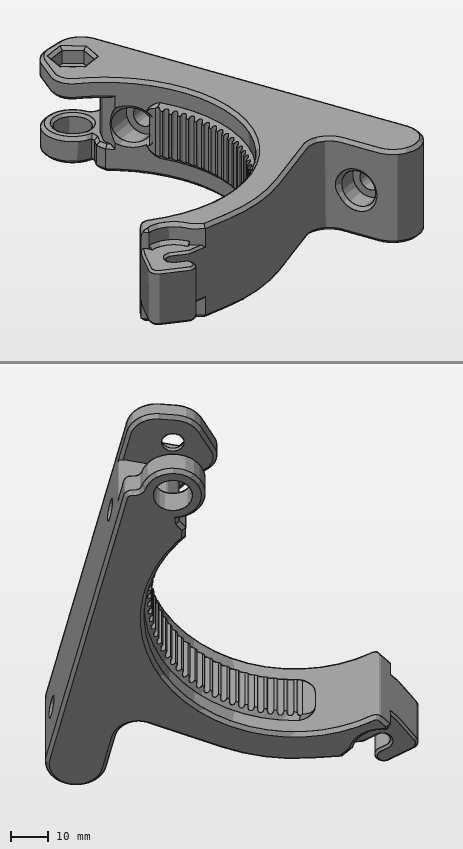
import cadquery as cq
import math

HEIGHT = 28.0
MID_Z = HEIGHT / 2
EDGE = 1.0

RING_R_IN = 40.0
RING_R_OUT = 49.3
OUT_START = 10.5
OUT_END = -17.5

BAR_Y_TOP = 53.6
BAR_END_R = 8.1
BAR_Y_LOW = BAR_Y_TOP - 2 * BAR_END_R
BAR_END_X = 61.9
BAR_CORNER_R = 6.3

PIVOT = (-34.4, 41.0)
EAR_Z = 21.9
EAR_R = 8.7
EAR_TIP_R = 5.9
EAR_TIP_ANGLE = 131.8
LUG_Z = 7.9
LUG_R = 8.6
LUG_HOLE_D = 10.4
LUG_HOLE_EDGE = 0.8
LUG_NECK_X = -33.0
LUG_NECK_R = 2.3
LUG_FRONT = [(-27.7, 38.1), (-25.4, 37.2), (-23.5, 35.0)]
LUG_WALL_X = -20.4
EMBED_X = -11.3
GAP_X = -25.7
GAP_BACK_R = 1.9
GAP_CORNER = (GAP_X, 40.5)
GAP_CORNER_R = 1.7
GAP_NOSE = (-22.2, 36.5)
GAP_NOSE_R = 2.3
GAP_WALL_X = -18.1

BOLT_D = 6.0
NUT_FLATS = 10.0
NUT_DEPTH = 4.9
NUT_EDGE = 0.9
HEAD_D = 10.4
HEAD_EDGE = 1.0
HEAD_FLOOR_Y = 44.1
ARC_HOLE_X = -14.5
BAR_HOLE_X = 55.5

PAD_R = 38.2
PAD_HEIGHT = 16.7
PAD_BACK_R = 42.5
PAD_ANGLE = 42.4
RAMP_NORMAL = 42.4
RAMP_DIST = 37.4
CORNER_CONE_R = 5.3
CORNER_CONE_X = 38.8
CORNER_CONE_Y = -10.1
CORNER_CONE_LENGTH = 7.9
GROOVE_R = 0.9
GROOVE_COUNT = 30
GROOVE_PITCH = 3.96

PIN = (40.9, -33.1)
PIN_R = 2.1
HOOK_ANGLE = 45.0
HOOK_Z = 5.9
HOOK_TOP = HEIGHT - HOOK_Z
HOOK_EDGE = 0.7
HOOK_TIP_R = 2.4
HOOK_TIP_ALONG = 2.4
HOOK_HEEL_R = 2.5
HOOK_SHOULDER_R = 1.1
HOOK_START_Y = -31.7
HOOK_ROOT_Y = -19.2

END_POINT = (32.5, -35.5)
BODY_END_ANGLE = -55.0
HOOK_END_ANGLE = -47.0
END_CORNER_R = 2.0
END_TOP_R = 2.6
TOE_X = 30.8
SHOULDER_Y = -22.8
RELIEF_R = 8.1
RELIEF_START = 90.0
RELIEF_END = 175.0
RELIEF_EDGE_R = 1.1
FOOT = 1.0


def polar(radius, angle, centre=(0, 0)):
    a = math.radians(angle)
    return (centre[0] + radius * math.cos(a), centre[1] + radius * math.sin(a))


def cross_lines(p, angle_p, q, angle_q):
    """Intersection of two lines, each given by a point and a direction."""
    ap, aq = math.radians(angle_p), math.radians(angle_q)
    dx, dy = q[0] - p[0], q[1] - p[1]
    t = (dx * math.sin(aq) - dy * math.cos(aq)) / math.sin(aq - ap)
    return (p[0] + t * math.cos(ap), p[1] + t * math.sin(ap))


def line_meets_ring(p, angle, radius):
    """First point of a line, going on from p, on a circle about the ring axis."""
    a = math.radians(angle)
    along = p[0] * math.cos(a) + p[1] * math.sin(a)
    reach = -along - math.sqrt(along**2 - p[0] ** 2 - p[1] ** 2 + radius**2)
    return (p[0] + reach * math.cos(a), p[1] + reach * math.sin(a))


def tangent_normal(c1, r1, c2, r2):
    """Direction of the contact points on the outer tangent that passes right of c1 to c2."""
    heading = math.degrees(math.atan2(c2[1] - c1[1], c2[0] - c1[0]))
    dist = math.hypot(c2[0] - c1[0], c2[1] - c1[1])
    return (heading - math.degrees(math.acos((r1 - r2) / dist))) % 360


def wall_at_x(x):
    """Point of the clamping wall at a given X, on the +Y side."""
    return (x, math.sqrt(RING_R_IN**2 - x**2))


def round_corner(solid, point, radius):
    """Fillet the vertical edge that stands at a point."""
    reach = 0.3
    low = (point[0] - reach, point[1] - reach, -HEIGHT)
    high = (point[0] + reach, point[1] + reach, 2 * HEIGHT)
    return solid.edges("|Z").edges(cq.selectors.BoxSelector(low, high)).fillet(radius)


def chamfer_rims(solid, size):
    return solid.faces("<Z or >Z").edges().chamfer(size)


def vertical_cylinder(centre, diameter, height):
    return cq.Workplane().center(*centre).circle(diameter / 2).extrude(height)


OUT_START_POINT = polar(RING_R_OUT, OUT_START)
OUT_END_POINT = polar(RING_R_OUT, OUT_END)
OUT_END_LINE = OUT_END - 90
END_CORNER = line_meets_ring(END_POINT, BODY_END_ANGLE + 180, RING_R_IN)


def make_body():
    """Bar and ring over the full height, from the clevis gap to the pin relief."""
    bar_corner = cross_lines((0, BAR_Y_LOW), 0, OUT_START_POINT, OUT_START + 90)
    shoulder = cross_lines(OUT_END_POINT, OUT_END_LINE, (0, SHOULDER_Y), 0)
    relief_start = polar(RELIEF_R, RELIEF_START, PIN)
    relief_middle = polar(RELIEF_R, (RELIEF_START + RELIEF_END) / 2, PIN)
    body = (
        cq.Workplane()
        .moveTo(GAP_X, BAR_Y_TOP)
        .lineTo(BAR_END_X, BAR_Y_TOP)
        .threePointArc((BAR_END_X + BAR_END_R, BAR_Y_TOP - BAR_END_R), (BAR_END_X, BAR_Y_LOW))
        .lineTo(*bar_corner)
        .lineTo(*OUT_START_POINT)
        .threePointArc(polar(RING_R_OUT, (OUT_START + OUT_END) / 2), OUT_END_POINT)
        .lineTo(*shoulder)
        .lineTo(*relief_start)
        .threePointArc(relief_middle, polar(RELIEF_R, RELIEF_END, PIN))
        .lineTo(*cross_lines((TOE_X, 0), 90, END_POINT, BODY_END_ANGLE))
        .lineTo(*END_CORNER)
        .threePointArc(polar(RING_R_IN, PAD_ANGLE), wall_at_x(GAP_WALL_X))
        .lineTo(*GAP_NOSE)
        .lineTo(*GAP_CORNER)
        .close()
        .extrude(HEIGHT)
    )
    rounded_corners = [
        (bar_corner, BAR_CORNER_R),
        (END_CORNER, END_CORNER_R),
        (relief_start, RELIEF_EDGE_R),
        ((GAP_X, BAR_Y_TOP), GAP_BACK_R),
        (GAP_CORNER, GAP_CORNER_R),
        (GAP_NOSE, GAP_NOSE_R),
    ]
    for point, radius in rounded_corners:
        body = round_corner(body, point, radius)
    return chamfer_rims(body, EDGE).cut(make_end_rounding())


def make_end_rounding():
    """Stock to remove along the top edge of the body end face."""
    margin = 1.1
    length = 13.6
    strip = (
        cq.Workplane("XZ")
        .moveTo(-margin, HEIGHT + margin)
        .lineTo(END_TOP_R, HEIGHT + margin)
        .lineTo(END_TOP_R, HEIGHT)
        .radiusArc((0, HEIGHT - END_TOP_R), -END_TOP_R)
        .lineTo(-margin, HEIGHT - END_TOP_R)
        .close()
        .extrude(length / 2, both=True)
    )
    strip = strip.rotate((0, 0, 0), (0, 0, 1), BODY_END_ANGLE + 90)
    return strip.translate((*END_CORNER, 0))


def make_ear():
    """Upper clevis plate: three rounded corners joined by tangent lines."""
    back = (PIVOT[0], BAR_Y_TOP - BAR_END_R)
    tip = polar(RING_R_IN + EAR_TIP_R, EAR_TIP_ANGLE)
    side = tangent_normal(back, BAR_END_R, PIVOT, EAR_R)
    lower = tangent_normal(PIVOT, EAR_R, tip, EAR_TIP_R)
    tip_end = EAR_TIP_ANGLE + 180
    embed = wall_at_x(EMBED_X)
    embed_angle = math.degrees(math.atan2(embed[1], embed[0]))
    ear = (
        cq.Workplane(origin=(0, 0, EAR_Z))
        .moveTo(EMBED_X, BAR_Y_TOP)
        .lineTo(PIVOT[0], BAR_Y_TOP)
        .threePointArc(polar(BAR_END_R, (90 + side) / 2, back), polar(BAR_END_R, side, back))
        .lineTo(*polar(EAR_R, side, PIVOT))
        .threePointArc(polar(EAR_R, (side + lower) / 2, PIVOT), polar(EAR_R, lower, PIVOT))
        .lineTo(*polar(EAR_TIP_R, lower, tip))
        .threePointArc(polar(EAR_TIP_R, (lower + tip_end) / 2, tip), polar(EAR_TIP_R, tip_end, tip))
        .threePointArc(polar(RING_R_IN, (EAR_TIP_ANGLE + embed_angle) / 2), embed)
        .close()
        .extrude(HEIGHT - EAR_Z)
    )
    return chamfer_rims(ear, EDGE)


def make_lug():
    """Lower clevis arm with its round boss."""
    arm = (
        cq.Workplane()
        .moveTo(EMBED_X, BAR_Y_TOP)
        .lineTo(LUG_NECK_X, BAR_Y_TOP)
        .lineTo(LUG_NECK_X, PIVOT[1])
    )
    for point in LUG_FRONT:
        arm = arm.lineTo(*point)
    arm = (
        arm.lineTo(*wall_at_x(LUG_WALL_X))
        .threePointArc(wall_at_x((LUG_WALL_X + EMBED_X) / 2), wall_at_x(EMBED_X))
        .close()
        .extrude(LUG_Z)
    )
    arm = round_corner(arm, (LUG_NECK_X, BAR_Y_TOP), LUG_NECK_R)
    neck_y = PIVOT[1] + math.sqrt(LUG_R**2 - (LUG_NECK_X - PIVOT[0]) ** 2)
    lug = arm.union(vertical_cylinder(PIVOT, 2 * LUG_R, LUG_Z))
    return chamfer_rims(round_corner(lug, (LUG_NECK_X, neck_y), LUG_NECK_R), EDGE)


def make_lug_hole():
    """Hole through the lug, countersunk on the side of the gap."""
    rim_d = LUG_HOLE_D + 2 * LUG_HOLE_EDGE
    rim = cq.Workplane(origin=(*PIVOT, LUG_Z)).circle(rim_d / 2).extrude(-LUG_HOLE_EDGE, taper=45)
    return vertical_cylinder(PIVOT, LUG_HOLE_D, LUG_Z).union(rim)


def slot_point(along, across):
    """Point measured from the pin along the slot and across it, towards the hook tip."""
    return polar(across, HOOK_ANGLE - 90, polar(along, HOOK_ANGLE, PIN))


def make_hook():
    tip_across = PIN_R + HOOK_TIP_R
    tip = slot_point(HOOK_TIP_ALONG, tip_across)
    tip_outer = slot_point(HOOK_TIP_ALONG, tip_across + HOOK_TIP_R)
    tip_inner = slot_point(HOOK_TIP_ALONG, PIN_R)
    slot_side = slot_point(0, -PIN_R)
    heel = cross_lines(END_POINT, HOOK_END_ANGLE, tip_outer, HOOK_ANGLE)
    shoulder = cross_lines(OUT_END_POINT, OUT_END_LINE, slot_side, HOOK_ANGLE)
    hook = (
        cq.Workplane(origin=(0, 0, HOOK_Z))
        .moveTo(*cross_lines(END_POINT, BODY_END_ANGLE, (0, HOOK_START_Y), 0))
        .lineTo(*END_POINT)
        .lineTo(*heel)
        .lineTo(*tip_outer)
        .threePointArc(polar(HOOK_TIP_R, HOOK_ANGLE, tip), tip_inner)
        .lineTo(*slot_point(0, PIN_R))
        .threePointArc(slot_point(-PIN_R, 0), slot_side)
        .lineTo(*shoulder)
        .lineTo(*cross_lines(OUT_END_POINT, OUT_END_LINE, (0, HOOK_ROOT_Y), 0))
        .close()
        .extrude(HOOK_TOP - HOOK_Z)
    )
    hook = round_corner(hook, heel, HOOK_HEEL_R)
    hook = round_corner(hook, shoulder, HOOK_SHOULDER_R)
    return chamfer_rims(hook, HOOK_EDGE)


def make_foot():
    """Sloped foot around the relief, on both faces of the hook."""
    inner = RELIEF_R - FOOT
    outer = RELIEF_R + 0.6
    base = HOOK_TOP - 1.1
    foot = (
        cq.Workplane("XZ")
        .polyline([
            (inner, base), (inner, HOOK_TOP), (RELIEF_R, HOOK_TOP + FOOT),
            (outer, HOOK_TOP + FOOT), (outer, base),
        ])
        .close()
        .revolve(RELIEF_END - RELIEF_START, (0, 0, 0), (0, -1, 0))
        .rotate((0, 0, 0), (0, 0, 1), RELIEF_END)
        .translate((*PIN, 0))
    )
    return foot.union(foot.mirror("XY", (0, 0, MID_Z)))


def make_pad():
    """Grooved pad, built symmetric about the X axis and then turned to its place."""
    half = RAMP_NORMAL + math.degrees(math.acos(RAMP_DIST / PAD_R))
    half_back = RAMP_NORMAL + math.degrees(math.acos(RAMP_DIST / PAD_BACK_R))
    pad = (
        cq.Workplane(origin=(0, 0, MID_Z))
        .moveTo(*polar(PAD_R, -half))
        .threePointArc((PAD_R, 0), polar(PAD_R, half))
        .lineTo(*polar(PAD_BACK_R, half_back))
        .threePointArc((PAD_BACK_R, 0), polar(PAD_BACK_R, -half_back))
        .close()
        .extrude(PAD_HEIGHT, both=True)
    )
    front_z = PAD_HEIGHT / 2 - (RING_R_IN - PAD_R)
    back_z = PAD_HEIGHT / 2 + (PAD_BACK_R - RING_R_IN)
    ring = (
        cq.Workplane("XZ", origin=(0, 0, MID_Z))
        .polyline([(PAD_R, -front_z), (PAD_BACK_R, -back_z), (PAD_BACK_R, back_z), (PAD_R, front_z)])
        .close()
        .revolve(360, (0, 0, 0), (0, 1, 0))
    )
    corner = make_pad_corner()
    corners = corner.union(corner.mirror("XY", (0, 0, MID_Z)))
    pad = pad.intersect(ring).cut(corners).cut(corners.mirror("XZ"))
    first = -GROOVE_PITCH * (GROOVE_COUNT - 1) / 2
    centres = [polar(PAD_R, first + GROOVE_PITCH * i) for i in range(GROOVE_COUNT)]
    grooves = (
        cq.Workplane(origin=(0, 0, MID_Z))
        .pushPoints(centres)
        .circle(GROOVE_R)
        .extrude(PAD_HEIGHT / 2, both=True)
    )
    return pad.cut(grooves).rotate((0, 0, 0), (0, 0, 1), PAD_ANGLE)


def make_pad_corner():
    """Stock to remove from one pad corner, leaving it conical."""
    centre_z = MID_Z + PAD_HEIGHT / 2 - CORNER_CONE_R
    half = CORNER_CONE_LENGTH / 2
    cone = cq.Solid.makeCone(
        CORNER_CONE_R - half,
        CORNER_CONE_R + half,
        CORNER_CONE_LENGTH,
        pnt=cq.Vector(CORNER_CONE_X - half, CORNER_CONE_Y, centre_z),
        dir=cq.Vector(1, 0, 0),
    )
    reach = CORNER_CONE_R + half
    stock = cq.Workplane().box(CORNER_CONE_LENGTH, reach, reach, centered=(True, False, False))
    stock = stock.translate((CORNER_CONE_X, CORNER_CONE_Y - reach, centre_z))
    return stock.cut(cq.Workplane(cone)).rotate((0, 0, 0), (0, 0, 1), -RAMP_NORMAL)


def make_screw_hole(x, wall_y, wall_slope):
    """Screw hole along Y, with a head bore and a countersunk rim that follows the wall slope."""
    bolt = cq.Workplane("XZ", origin=(x, BAR_Y_TOP, MID_Z)).circle(BOLT_D / 2).extrude(BAR_Y_TOP)
    head_length = HEAD_FLOOR_Y - wall_y + HEAD_D / 2
    head = cq.Workplane("XZ", origin=(x, HEAD_FLOOR_Y, MID_Z)).circle(HEAD_D / 2).extrude(head_length)
    slope = math.radians(wall_slope)
    rims = []
    for depth in (HEAD_EDGE, -HEAD_EDGE):
        radius = HEAD_D / 2 + HEAD_EDGE - depth
        rim = cq.Wire.makeEllipse(
            radius / math.cos(slope),
            radius,
            cq.Vector(x, wall_y + depth, MID_Z),
            cq.Vector(math.sin(slope), -math.cos(slope), 0),
            cq.Vector(math.cos(slope), math.sin(slope), 0),
        )
        rims.append(rim)
    countersink = cq.Workplane(cq.Solid.makeLoft(rims, True))
    return bolt.union(head).union(countersink)


def make_nut_pocket():
    """Hexagonal pocket with two corners along Y and a chamfered rim."""
    def hexagon(z, flats):
        plane = cq.Workplane(origin=(*PIVOT, z)).transformed(rotate=(0, 0, 30))
        return plane.polygon(6, flats / math.cos(math.pi / 6))

    pocket = hexagon(HEIGHT, NUT_FLATS).extrude(-NUT_DEPTH)
    rim = hexagon(HEIGHT, NUT_FLATS + 2 * NUT_EDGE).extrude(-NUT_EDGE, taper=45)
    return pocket.union(rim)


result = make_body()
for feature in (make_ear(), make_lug(), make_hook(), make_foot(), make_pad()):
    result = result.union(feature)

arc_hole_y = wall_at_x(ARC_HOLE_X)[1]
arc_hole_slope = -math.degrees(math.atan2(ARC_HOLE_X, arc_hole_y))
for cutter in (
    make_lug_hole(),
    vertical_cylinder(PIVOT, BOLT_D, HEIGHT),
    make_nut_pocket(),
    make_screw_hole(ARC_HOLE_X, arc_hole_y, arc_hole_slope),
    make_screw_hole(BAR_HOLE_X, BAR_Y_LOW, 0),
):
    result = result.cut(cutter)